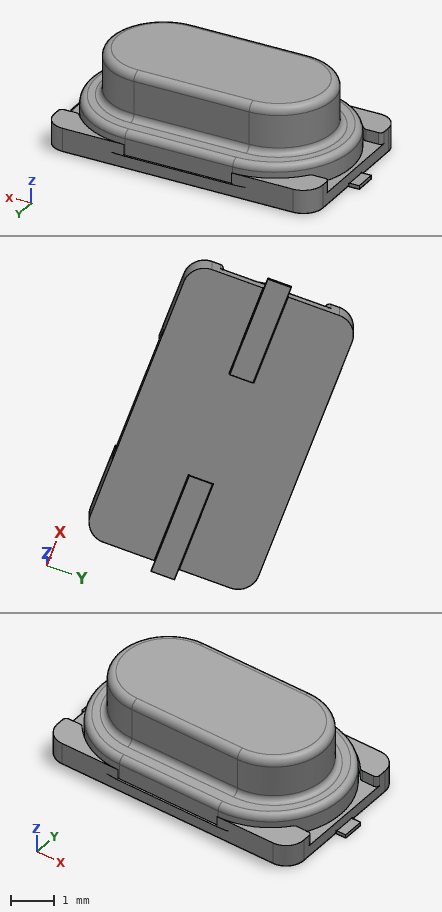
import cadquery as cq

overall_length = 7.5
overall_height = 2.15

base_length = 7.0
base_width = 4.1
base_bottom = 0.05
base_top = 0.65
base_corner_radius = 0.5
floor_level = 0.35
end_notch_width = 2.5
notch_edge_radius = 0.1

flange_length = 6.8
flange_width = 4.0
flange_top = 0.95
flange_edge_radius = 0.17
can_length = 5.8
can_width = 2.8
can_top_radius = 0.2
can_foot_radius = 0.16

flange_clearance = (base_width - flange_width) / 2

terminal_width = 0.57
terminal_thickness = 0.1
terminal_inner_gap = 2.595
terminal_side_clearance = 0.02

edge_tolerance = 0.01


def stadium(length, width, bottom, top):
    """Upright prism with straight long sides and semicircular ends."""
    return cq.Workplane("XY").workplane(offset=bottom).slot2D(length, width).extrude(top - bottom)


def block(length, width, bottom, top, x_center=0):
    """Upright box centred on the X axis."""
    return (
        cq.Workplane("XY")
        .workplane(offset=bottom)
        .center(x_center, 0)
        .rect(length, width)
        .extrude(top - bottom)
    )


def make_base():
    """Rounded plate whose upper layer is left standing only as four corner posts."""
    plate = block(base_length, base_width, base_bottom, base_top).edges("|Z").fillet(base_corner_radius)

    recess = stadium(
        flange_length + 2 * flange_clearance,
        flange_width + 2 * flange_clearance,
        floor_level,
        base_top,
    )
    notch = block(base_length, end_notch_width, floor_level, base_top)
    posts = plate.intersect(block(base_length, base_width, floor_level, base_top)).cut(recess).cut(notch)
    half_notch = end_notch_width / 2
    for side in (-1, 1):
        notch_edges = cq.selectors.BoxSelector(
            (-base_length, side * half_notch - edge_tolerance, floor_level),
            (base_length, side * half_notch + edge_tolerance, base_top),
        )
        posts = posts.edges("|Z").edges(notch_edges).fillet(notch_edge_radius)

    lower_plate = plate.intersect(block(base_length, base_width, base_bottom, floor_level))
    return lower_plate.union(posts)


def make_can():
    """Stepped can: rounded flange, filleted foot and rounded top edge."""
    flange = stadium(flange_length, flange_width, floor_level, flange_top)
    flange = flange.faces(">Z").edges().fillet(flange_edge_radius)
    body = stadium(can_length, can_width, floor_level, overall_height)
    body = body.faces(">Z").edges().fillet(can_top_radius)
    foot_edges = cq.selectors.BoxSelector(
        (-can_length / 2 - edge_tolerance, -can_width / 2 - edge_tolerance, flange_top - edge_tolerance),
        (can_length / 2 + edge_tolerance, can_width / 2 + edge_tolerance, flange_top + edge_tolerance),
    )
    return flange.union(body).edges(foot_edges).fillet(can_foot_radius)


def terminal_bar(width, side):
    """Flat bar in the terminal's place at the -X (side -1) or +X (side 1) end."""
    length = (overall_length - terminal_inner_gap) / 2
    x_center = side * (overall_length + terminal_inner_gap) / 4
    return block(length, width, 0, terminal_thickness, x_center)


result = make_base().union(make_can())
for side in (-1, 1):
    slot = terminal_bar(terminal_width + 2 * terminal_side_clearance, side)
    terminal = terminal_bar(terminal_width, side)
    result = result.cut(slot).union(terminal)